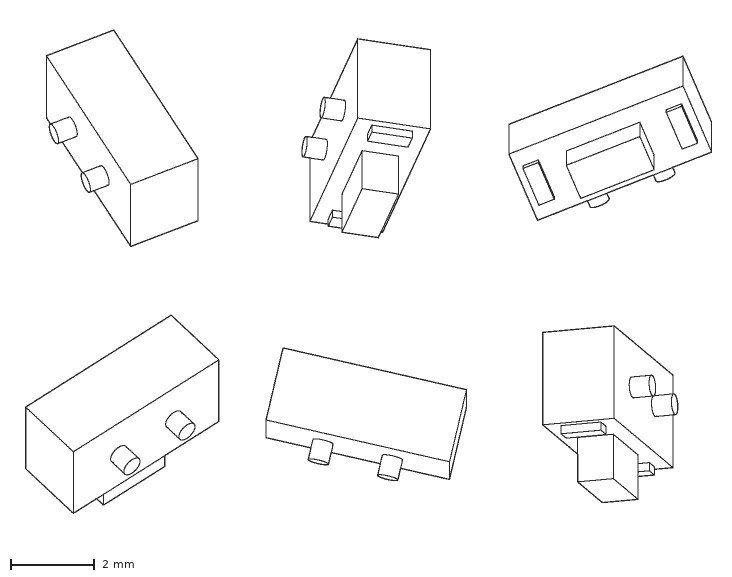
import cadquery as cq

body_length = 4.5
body_depth = 1.8
body_height = 2.3

pin_diameter = 0.5
pin_length = 0.5
pin_spacing = 1.7

actuator_length = 1.9
actuator_depth = 0.9
actuator_height = 1.102

foot_length = 0.395
foot_depth = 1.0
foot_height = 0.202
foot_spacing = 3.7


def hanging_block(length, depth, height, x_center=0):
    """Block whose top face lies on the underside of the body."""
    block = cq.Workplane("XY").box(length, depth, height, centered=(True, True, False))
    return block.translate((x_center, 0, -height))


def front_pins():
    """Pair of pins projecting toward -Y at mid-height of the body."""
    return (
        cq.Workplane("XZ", origin=(0, -body_depth / 2, body_height / 2))
        .pushPoints([(-pin_spacing / 2, 0), (pin_spacing / 2, 0)])
        .circle(pin_diameter / 2)
        .extrude(pin_length)
    )


body = cq.Workplane("XY").box(body_length, body_depth, body_height, centered=(True, True, False))
result = body.union(front_pins())
result = result.union(hanging_block(actuator_length, actuator_depth, actuator_height))
for side in (-1, 1):
    foot_x = side * foot_spacing / 2
    result = result.union(hanging_block(foot_length, foot_depth, foot_height, foot_x))